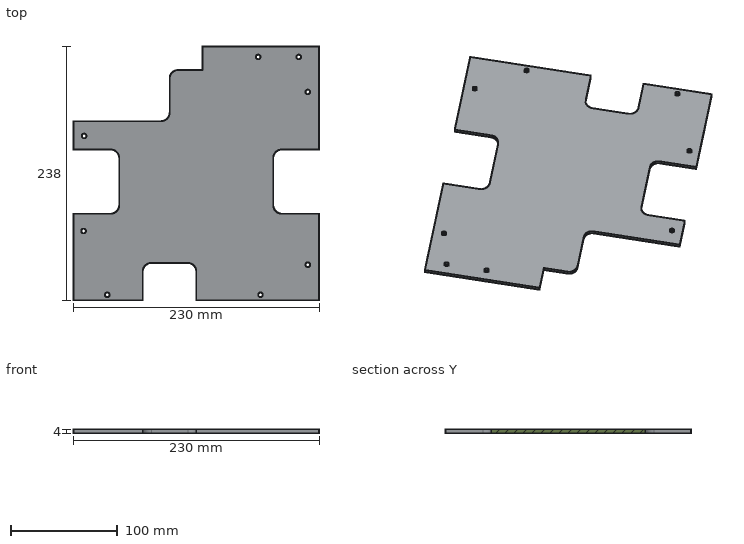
import cadquery as cq

width = 230.0
depth = 238.0
thickness = 4.0

corner_radius = 8.0
hole_diameter = 4.2

side_notch_depth = 42.75
side_notch_length = 60.0
side_notch_bottom = 81.25

front_notch_left = 65.0
front_notch_width = 50.0
front_notch_depth = 35.0

arm_top = 168.0
step_left = 90.0
step_top = 215.88
upper_block_left = 120.75

front_row_y = 5.2
back_row_y = 228.0
right_column_x = 219.5
hole_centers = [
    (10.0, 154.0),
    (9.5, 65.0),
    (31.7, front_row_y),
    (175.2, front_row_y),
    (right_column_x, 33.4),
    (right_column_x, 195.2),
    (211.0, back_row_y),
    (173.0, back_row_y),
]


def rectangular_plate():
    return cq.Workplane("XY").box(width, depth, thickness, centered=False)


def cutter(left, bottom, right, top):
    """Block through the full thickness between two opposite corners."""
    return (
        cq.Workplane("XY")
        .box(right - left, top - bottom, thickness, centered=False)
        .translate((left, bottom, 0))
    )


def cut_side_notches(plate):
    notch_top = side_notch_bottom + side_notch_length
    left_notch = cutter(0, side_notch_bottom, side_notch_depth, notch_top)
    right_notch = cutter(width - side_notch_depth, side_notch_bottom, width, notch_top)
    return plate.cut(left_notch.edges("|Z and >X").fillet(corner_radius)).cut(
        right_notch.edges("|Z and <X").fillet(corner_radius)
    )


def cut_front_notch(plate):
    notch = cutter(front_notch_left, 0, front_notch_left + front_notch_width, front_notch_depth)
    return plate.cut(notch.edges("|Z and >Y").fillet(corner_radius))


def cut_stepped_corner(plate):
    """Remove the upper-left corner in two steps; the lower step has rounded corners."""
    lower_step = cutter(0, arm_top, step_left, depth)
    upper_step = cutter(step_left, step_top, upper_block_left, depth)
    inner_corner = cq.selectors.NearestToPointSelector((step_left, arm_top, thickness / 2))
    outer_corner = cq.selectors.NearestToPointSelector((step_left, step_top, thickness / 2))
    stepped = plate.cut(lower_step).cut(upper_step)
    stepped = stepped.edges("|Z").edges(inner_corner).fillet(corner_radius)
    return stepped.edges("|Z").edges(outer_corner).fillet(corner_radius)


def drill_holes(plate):
    holes = (
        cq.Workplane("XY")
        .pushPoints(hole_centers)
        .circle(hole_diameter / 2)
        .extrude(thickness)
    )
    return plate.cut(holes)


result = rectangular_plate()
result = cut_side_notches(result)
result = cut_front_notch(result)
result = cut_stepped_corner(result)
result = drill_holes(result)